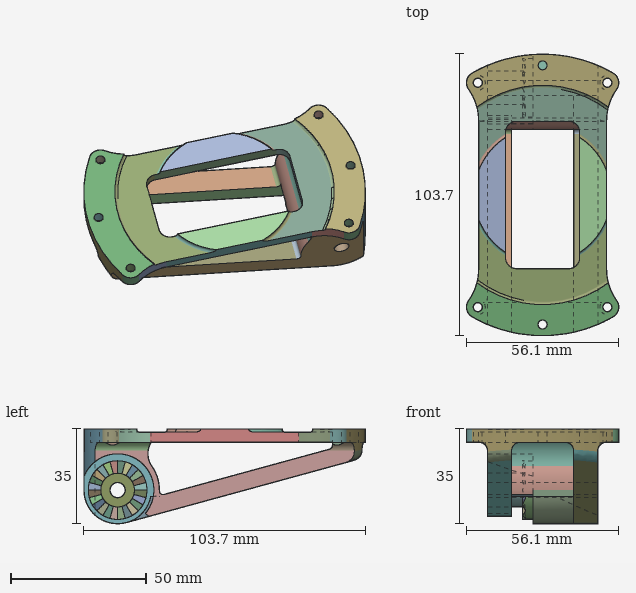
import cadquery as cq
import math

plate_thickness = 5.0
plate_radius = 51.86
ear_x = 56.13 / 2
bolt_circle_radius = 47.7
bolt_angle = 30.0
bolt_diameter = 3.25
screw_head_diameter = 5.5
neck_half_width = 23.6
neck_half_length = 27.5

window_width = 27.3
window_length = 54.2
window_corner = 4.0

recess_depth = 1.25
recess_outer_radius = 40.4
recess_inner_radius = 25.2
recess_fillet = 1.0

part_height = 34.98
boss_radius = 12.43
axis_y = plate_radius - boss_radius
axis_z = plate_thickness - part_height + boss_radius
bore_diameter = 5.5
boss_face_x = -3.6

leg_right_x = 20.35
leg_left_x = -leg_right_x
leg_gap_half_width = 11.4
plate_fillet = 3.0
arm_angle = 15.3
arm_thickness = 6.4
arm_tip_fillet = 4.0
block_radius = boss_radius + 3.0
block_bottom_z = -20.0
block_lip_z = -19.2
block_curve_radius = 8.0
block_curve_angle = 35.0
void_corner_fillet = 1.3
void_end_y = -39.6

clearance_radius = 13.36
clearance_edge_angle = 40.0
pin_diameter = 12.4
ring_diameter = 21.6
ring_face_x = -7.44
tooth_count = 12
tooth_depth = 1.2

reach = 200.0


def polar(radius, degrees):
    angle = math.radians(degrees)
    return radius * math.cos(angle), radius * math.sin(angle)


def rod_along_x(radius, start_x, end_x):
    """Cylinder on the pivot axis."""
    plane = cq.Workplane("YZ", origin=(start_x, axis_y, axis_z))
    return plane.circle(radius).extrude(end_x - start_x)


def box(x_range, y_range, z_range):
    corner = (x_range[0], y_range[0], z_range[0])
    size = (x_range[1] - x_range[0], y_range[1] - y_range[0], z_range[1] - z_range[0])
    return cq.Workplane("XY", origin=corner).box(*size, centered=False)


def plate_prism(height):
    """Prism over the plate outline: a disc segment with four rounded ears and a narrower straight neck."""
    ear_radius = plate_radius - bolt_circle_radius
    ear_centre_x = ear_x - ear_radius
    ear_centre_y = math.sqrt(bolt_circle_radius**2 - ear_centre_x**2)

    rise = ear_centre_y - neck_half_length
    offset = neck_half_width - ear_centre_x
    neck_radius = (offset**2 + rise**2 - ear_radius**2) / (2 * (ear_radius - offset))
    neck_centre_x = neck_half_width + neck_radius
    ear_share = ear_radius / (neck_radius + ear_radius)
    ear_start = (
        ear_centre_x + (neck_centre_x - ear_centre_x) * ear_share,
        ear_centre_y - rise * ear_share,
    )
    ear_scale = plate_radius / bolt_circle_radius
    ear_end = (ear_centre_x * ear_scale, ear_centre_y * ear_scale)
    ear_middle = (ear_x, ear_centre_y)
    neck_sweep = math.degrees(math.atan2(rise, neck_centre_x - ear_centre_x))
    dx, dy = polar(neck_radius, 180 - neck_sweep / 2)
    neck_middle = (neck_centre_x + dx, neck_half_length + dy)

    def mirror(point, sign_x, sign_y):
        return (sign_x * point[0], sign_y * point[1])

    neck_end = (neck_half_width, neck_half_length)
    outline = cq.Workplane("XY").moveTo(*mirror(neck_end, 1, -1)).lineTo(*neck_end)
    for side in (1, -1):
        outline = (
            outline.threePointArc(mirror(neck_middle, side, side), mirror(ear_start, side, side))
            .threePointArc(mirror(ear_middle, side, side), mirror(ear_end, side, side))
            .threePointArc((0, side * plate_radius), mirror(ear_end, -side, side))
            .threePointArc(mirror(ear_middle, -side, side), mirror(ear_start, -side, side))
            .threePointArc(mirror(neck_middle, -side, side), mirror(neck_end, -side, side))
        )
        if side == 1:
            outline = outline.lineTo(*mirror(neck_end, -1, -1))
    return outline.close().extrude(height)


def top_recess():
    """Ring whose two walls run into the floor with fillets."""
    floor = plate_thickness - recess_depth
    ring = (
        cq.Workplane("XY", origin=(0, 0, floor))
        .circle(recess_outer_radius)
        .circle(recess_inner_radius)
        .extrude(recess_depth)
    )
    return ring.faces("<Z").edges().fillet(recess_fillet)


def window():
    return (
        cq.Workplane("XY")
        .rect(window_width, window_length)
        .extrude(plate_thickness)
        .edges("|Z")
        .fillet(window_corner)
    )


def ear_points():
    angles = [side + turn for side in (90, 270) for turn in (-bolt_angle, bolt_angle)]
    return [polar(bolt_circle_radius, angle) for angle in angles]


def hole_points():
    """Three holes at each end of the plate."""
    return ear_points() + [(0, bolt_circle_radius), (0, -bolt_circle_radius)]


def screw_head_clearance():
    """Room below the plate for the screws at the four ears."""
    return (
        cq.Workplane("XY")
        .pushPoints(ear_points())
        .circle(screw_head_diameter / 2)
        .extrude(-plate_fillet)
    )


def arm_line_z(y, distance):
    """Height of the arm-parallel line that passes below the axis at a given distance."""
    slope = math.tan(math.radians(arm_angle))
    return axis_z + (axis_y - y) * slope - distance / math.cos(math.radians(arm_angle))


def side_profile():
    """Solid side outline: hinge end, rounded boss and sloping underside."""
    tip_y = -plate_radius
    dy, dz = polar(boss_radius, -90 - arm_angle)
    middle_dy, middle_dz = polar(boss_radius, -45 - arm_angle / 2)
    outline = (
        cq.Workplane("YZ", origin=(-reach / 2, 0, 0))
        .moveTo(plate_radius, 0)
        .lineTo(plate_radius, axis_z)
        .threePointArc((axis_y + middle_dy, axis_z + middle_dz), (axis_y + dy, axis_z + dz))
        .lineTo(tip_y, arm_line_z(tip_y, boss_radius))
        .lineTo(tip_y, 0)
        .close()
        .extrude(reach)
    )
    return outline.intersect(plate_prism(-reach))


def front_section():
    """Cross-section of the leg pair, flaring into the plate with concave fillets."""
    low = -reach / 2
    bend = plate_fillet * (1 - math.sqrt(0.5))
    left, right = leg_left_x, leg_right_x
    return (
        cq.Workplane("XZ", origin=(0, reach / 2, 0))
        .moveTo(left - plate_fillet, 0)
        .threePointArc((left - bend, -bend), (left, -plate_fillet))
        .lineTo(left, low)
        .lineTo(right, low)
        .lineTo(right, -plate_fillet)
        .threePointArc((right + bend, -bend), (right + plate_fillet, 0))
        .close()
        .extrude(reach)
    )


def side_void():
    """Triangular opening between plate, hinge block and arms."""
    inner_distance = boss_radius - arm_thickness
    curve_centre = polar(block_radius + block_curve_radius, 180 - block_curve_angle)
    curve_y = axis_y + curve_centre[0]
    curve_z = axis_z + curve_centre[1]
    curve_top_y = curve_y + math.sqrt(block_curve_radius**2 - curve_z**2)
    front_y = axis_y - block_radius
    join = polar(block_radius, 180 - block_curve_angle)
    middle = polar(block_radius, 180 - block_curve_angle / 2)
    opening = (
        cq.Workplane("YZ", origin=(-reach / 2, 0, 0))
        .moveTo(curve_top_y, 0)
        .threePointArc((curve_y + block_curve_radius, curve_z), (axis_y + join[0], axis_z + join[1]))
        .threePointArc((axis_y + middle[0], axis_z + middle[1]), (front_y, axis_z))
        .lineTo(front_y, arm_line_z(front_y, inner_distance))
        .lineTo(void_end_y, arm_line_z(void_end_y, inner_distance))
        .lineTo(void_end_y, 0)
        .close()
        .extrude(reach)
    )
    for y in (front_y, void_end_y):
        corner = (0, y, arm_line_z(y, inner_distance))
        opening = opening.edges(cq.NearestToPointSelector(corner)).fillet(void_corner_fillet)
    return opening


def leg_gap():
    """Space between the legs: an arch in front of the block and a step below it."""
    block_front_y = axis_y - block_radius
    width = (-leg_gap_half_width, leg_gap_half_width)
    arch = box(width, (-reach, block_front_y), (-reach, 0))
    arch = arch.faces(">Z").edges("|Y").fillet(plate_fillet)
    step = box(width, (block_front_y, axis_y), (-reach, block_bottom_z))
    step = step.cut(rod_along_x(boss_radius, *width))
    return arch.union(step).union(block_lip_trim())


def block_lip_trim():
    """Carries the block's curve past axis height at the toothed side and bevels its lip."""
    block_front_y = axis_y - block_radius
    lip_x = (-leg_gap_half_width, boss_face_x)
    trim = box(lip_x, (block_front_y, axis_y), (block_bottom_z, axis_z))
    trim = trim.cut(rod_along_x(block_radius, *lip_x))
    inner_drop = axis_z - block_bottom_z
    inner_y = axis_y - math.sqrt(clearance_radius**2 - inner_drop**2)
    bevel = (
        cq.Workplane("YZ", origin=(lip_x[0], 0, 0))
        .moveTo(block_front_y, block_lip_z)
        .lineTo(inner_y, block_bottom_z)
        .lineTo(block_front_y, block_bottom_z)
        .close()
        .extrude(lip_x[1] - lip_x[0])
    )
    return trim.union(bevel)


def pivot_clearance():
    """Round recess at the toothed side; it also trims the leg to a radial end."""
    start_x = leg_left_x - plate_fillet
    cut = rod_along_x(clearance_radius, start_x, boss_face_x)
    wedge_radius = 2 * boss_radius
    wedge = (
        cq.Workplane("YZ", origin=(start_x, axis_y, axis_z))
        .polyline([
            (0, 0),
            polar(wedge_radius, 180 + clearance_edge_angle),
            polar(wedge_radius, 270),
        ])
        .close()
        .extrude(-leg_gap_half_width - start_x)
    )
    return cut.union(wedge)


def tooth_groove(angle):
    """Radial V groove that deepens with distance from the axis."""
    half_pitch = 180.0 / tooth_count
    overshoot = 2.0
    length = overshoot * ring_diameter / 2
    half_width = length * math.tan(math.radians(half_pitch))
    tip = cq.Vector(0, 0, 0)
    left = cq.Vector(0, length, half_width)
    right = cq.Vector(0, length, -half_width)
    bottom = cq.Vector(overshoot * tooth_depth, length, 0)
    triangles = [(tip, left, right), (tip, bottom, left), (tip, right, bottom), (left, bottom, right)]
    faces = []
    for triangle in triangles:
        wire = cq.Wire.makePolygon(triangle, close=True)
        faces.append(cq.Face.makeFromWires(wire))
    wedge = cq.Solid.makeSolid(cq.Shell.makeShell(faces))
    wedge = wedge.rotate(cq.Vector(0, 0, 0), cq.Vector(1, 0, 0), angle)
    return wedge.translate(cq.Vector(ring_face_x, axis_y, axis_z))


def toothed_ring():
    ring = rod_along_x(ring_diameter / 2, ring_face_x, boss_face_x)
    pitch = 360.0 / tooth_count
    for index in range(tooth_count):
        ring = ring.cut(cq.Workplane(obj=tooth_groove((index + 0.5) * pitch)))
    return ring


def hinge_and_legs():
    body = side_profile().intersect(front_section())
    body = body.edges("%ELLIPSE").fillet(arm_tip_fillet)
    body = body.cut(side_void()).cut(leg_gap()).cut(pivot_clearance())
    return body.cut(screw_head_clearance())


def plate():
    holes = (
        cq.Workplane("XY")
        .pushPoints(hole_points())
        .circle(bolt_diameter / 2)
        .extrude(plate_thickness)
    )
    return plate_prism(plate_thickness).cut(top_recess()).cut(window()).cut(holes)


pin = rod_along_x(pin_diameter / 2, leg_left_x, boss_face_x)
bore = rod_along_x(bore_diameter / 2, leg_left_x, leg_right_x)
result = plate().union(hinge_and_legs()).union(toothed_ring()).union(pin).cut(bore)